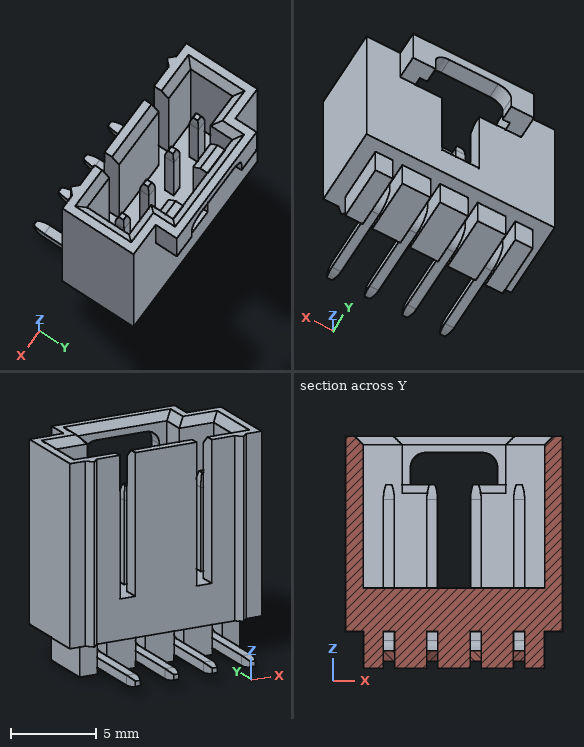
import cadquery as cq
import math

pin_count = 4
pitch = 2.54
height = 13.59
width = 5 * pitch
depth = 2 * pitch
wall = 1.05
lip_chamfer = 0.5
shroud_bottom = 2.16
floor_top = 4.72
cavity_width = width - 2 * wall

hump_width = 8.17
hump_back = 6.59
hump_wall = 1.0
hump_bottom = 10.76
hump_opening = hump_width - 2 * wall
window_width = 2 * pitch
window_top = 12.63
window_radius = 0.9

back_gap = 2.5
front_slot = 1.0

rib_spacing = 9.9
rib_height = 0.38

foot_depth = 3.55

pin_size = 0.64
pin_y = depth / 2
pin_top = hump_bottom
leg_z = 0.72
leg_end = -3.7
bend_radius = 0.61
tip_length = 0.85
tip_end = 0.34

pin_places = [(i - (pin_count - 1) / 2) * pitch for i in range(pin_count)]


def block(x_size, y_front, y_back, z_bottom, z_top, x_middle=0.0):
    """Box centred on x_middle and given by its Y and Z limits."""
    return (
        cq.Workplane("XY")
        .box(x_size, y_back - y_front, z_top - z_bottom, centered=(True, False, False))
        .translate((x_middle, y_front, z_bottom))
    )


def make_rib(x):
    """Vertical rib with a 45 degree pointed section on the front face."""
    return (
        cq.Workplane("XY", origin=(x, 0, shroud_bottom))
        .polyline([(-rib_height, 0), (0, -rib_height), (rib_height, 0)])
        .close()
        .extrude(height - shroud_bottom)
    )


def mouth_outline(growth):
    """T-shaped outline of the cavity and hump, with every side moved out by growth."""
    cavity_half = cavity_width / 2 + growth
    hump_half = hump_opening / 2 + growth
    front = wall - growth
    cavity_back = depth - wall + growth
    hump_inner_back = hump_back - hump_wall + growth
    return [
        (-cavity_half, front),
        (cavity_half, front),
        (cavity_half, cavity_back),
        (hump_half, cavity_back),
        (hump_half, hump_inner_back),
        (-hump_half, hump_inner_back),
        (-hump_half, cavity_back),
        (-cavity_half, cavity_back),
    ]


def make_mouth_chamfer():
    """Flared lead-in that follows the mouth, with mitred corners."""
    return (
        cq.Workplane("XY", origin=(0, 0, height - lip_chamfer))
        .polyline(mouth_outline(0))
        .close()
        .workplane(offset=lip_chamfer)
        .polyline(mouth_outline(lip_chamfer))
        .close()
        .loft(ruled=True)
    )


def make_stub_chamfer():
    """Wedge off the inner top edge of the back wall, under the hump opening."""
    inner = depth - wall
    return (
        cq.Workplane("YZ", origin=(-hump_opening / 2, 0, 0))
        .polyline([
            (inner, hump_bottom),
            (inner + lip_chamfer, hump_bottom),
            (inner, hump_bottom - lip_chamfer),
        ])
        .close()
        .extrude(hump_opening)
    )


def make_window():
    """Round-cornered cut in the hump back wall, open at the bottom."""
    return (
        block(window_width, depth, hump_back, hump_bottom, window_top)
        .edges("|Y and >Z")
        .fillet(window_radius)
    )


def make_housing():
    body = block(width, 0, depth, shroud_bottom, height)
    body = body.union(block(hump_width, depth - wall, hump_back, hump_bottom, height))
    foot_front = pin_y - foot_depth / 2
    body = body.union(block(cavity_width, foot_front, foot_front + foot_depth, 0, shroud_bottom))
    for side in (-1, 1):
        body = body.union(make_rib(side * rib_spacing / 2))

    body = body.cut(block(cavity_width, wall, depth - wall, floor_top, height))
    body = body.cut(block(hump_opening, wall, hump_back - hump_wall, hump_bottom, height))
    body = body.cut(make_mouth_chamfer())
    body = body.cut(make_stub_chamfer())
    body = body.cut(make_window())

    body = body.cut(block(back_gap, depth - wall, depth, floor_top, hump_bottom))
    slot_x = (hump_opening - front_slot) / 2
    for side in (-1, 1):
        body = body.cut(block(front_slot, 0, wall, floor_top, height, side * slot_x))

    for x in pin_places:
        body = body.cut(block(pin_size, pin_y - pin_size / 2, pin_y + pin_size / 2, 0, floor_top, x))
        body = body.cut(block(pin_size, 0, depth, 0, shroud_bottom, x))
    return body


def make_tip():
    """Bullet-shaped square tip that points up from the origin."""
    half = pin_size / 2
    half_end = tip_end / 2
    inset = half - half_end
    arc_radius = (tip_length**2 + inset**2) / (2 * inset)
    mid_z = tip_length / 2
    mid_x = half - arc_radius + math.sqrt(arc_radius**2 - mid_z**2)
    profile = (
        cq.Workplane("XZ")
        .moveTo(-half, 0)
        .lineTo(half, 0)
        .threePointArc((mid_x, mid_z), (half_end, tip_length))
        .lineTo(-half_end, tip_length)
        .threePointArc((-mid_x, mid_z), (-half, 0))
        .close()
        .extrude(half, both=True)
    )
    return profile.intersect(profile.rotate((0, 0, 0), (0, 0, 1), 90))


def make_pin(x):
    """Square wire bent through 90 degrees, with a tip at each end."""
    half = pin_size / 2
    bend_y = pin_y - half - bend_radius
    bend_z = leg_z + half + bend_radius
    tip_base_y = leg_end + tip_length
    tip_base_z = pin_top - tip_length

    path = (
        cq.Workplane("YZ", origin=(x, 0, 0))
        .moveTo(tip_base_y, leg_z)
        .lineTo(bend_y, leg_z)
        .radiusArc((pin_y, bend_z), -(bend_radius + half))
        .lineTo(pin_y, tip_base_z)
    )
    wire = (
        cq.Workplane("XZ", origin=(x, tip_base_y, leg_z))
        .rect(pin_size, pin_size)
        .sweep(path)
    )
    upper_tip = make_tip().translate((x, pin_y, tip_base_z))
    leg_tip = make_tip().rotate((0, 0, 0), (1, 0, 0), 90).translate((x, tip_base_y, leg_z))
    return wire.union(upper_tip).union(leg_tip)


housing = make_housing()
pins = [make_pin(x) for x in pin_places]

result = cq.Compound.makeCompound([housing.solids().val(), *[pin.solids().val() for pin in pins]])